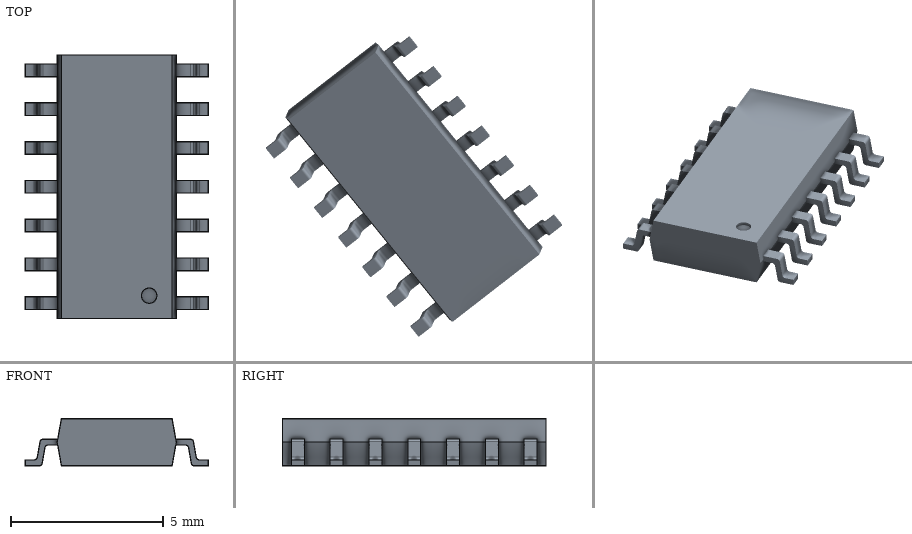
import cadquery as cq
import math

body_length = 8.65
body_height = 1.55
parting_height = 0.78
body_mid_width = 3.91
draft_slope = math.tan(math.radians(10))
body_top_width = body_mid_width - 2 * (body_height - parting_height) * draft_slope
body_bottom_width = body_mid_width - 2 * parting_height * draft_slope

leads_per_side = 7
lead_pitch = 1.27
lead_width = 0.42
lead_span = 6.0
lead_thickness = 0.2
lead_lean = math.radians(10)
bend_radius = 0.1
shoulder_span = 5.01
lead_embed = 0.26

dimple_diameter = 0.5
dimple_depth = 0.1
dimple_x = 1.06
dimple_y = -3.57


def make_body():
    half_mid = body_mid_width / 2
    half_top = body_top_width / 2
    half_bottom = body_bottom_width / 2
    outline = [
        (-half_bottom, 0),
        (half_bottom, 0),
        (half_mid, parting_height),
        (half_top, body_height),
        (-half_top, body_height),
        (-half_mid, parting_height),
    ]
    return cq.Workplane("XZ").polyline(outline).close().extrude(body_length / 2, both=True)


def make_lead():
    """One lead on the +X side, centred on Y = 0, with its foot on Z = 0."""
    shoulder_top = parting_height + lead_thickness / 2
    shoulder_bottom = shoulder_top - lead_thickness
    root_x = body_mid_width / 2 - lead_embed
    tip_x = lead_span / 2
    leg_width_in_x = lead_thickness / math.cos(lead_lean)

    def leg_outer_x(z):
        return shoulder_span / 2 + (shoulder_top - z) * math.tan(lead_lean)

    def leg_inner_x(z):
        return leg_outer_x(z) - leg_width_in_x

    shoulder_top_bend = (leg_outer_x(shoulder_top), shoulder_top)
    shoulder_bottom_bend = (leg_inner_x(shoulder_bottom), shoulder_bottom)
    foot_top_bend = (leg_outer_x(lead_thickness), lead_thickness)
    foot_bottom_bend = (leg_inner_x(0), 0)
    outline = [
        (root_x, shoulder_top),
        shoulder_top_bend,
        foot_top_bend,
        (tip_x, lead_thickness),
        (tip_x, 0),
        foot_bottom_bend,
        shoulder_bottom_bend,
        (root_x, shoulder_bottom),
    ]
    lead = cq.Workplane("XZ").polyline(outline).close().extrude(lead_width / 2, both=True)

    bends = lead.edges("|Y").edges(
        cq.selectors.BoxSelector(
            (root_x + bend_radius, -lead_width, -lead_thickness),
            (tip_x - bend_radius, lead_width, body_height),
        )
    )
    return bends.fillet(bend_radius)


def add_leads(body):
    right_lead = make_lead()
    left_lead = right_lead.mirror("YZ")
    first_y = -lead_pitch * (leads_per_side - 1) / 2
    for index in range(leads_per_side):
        offset = (0, first_y + index * lead_pitch, 0)
        body = body.union(right_lead.translate(offset)).union(left_lead.translate(offset))
    return body


def make_dimple():
    return (
        cq.Workplane("XY", origin=(dimple_x, dimple_y, body_height - dimple_depth))
        .circle(dimple_diameter / 2)
        .extrude(dimple_depth)
    )


result = add_leads(make_body()).cut(make_dimple())